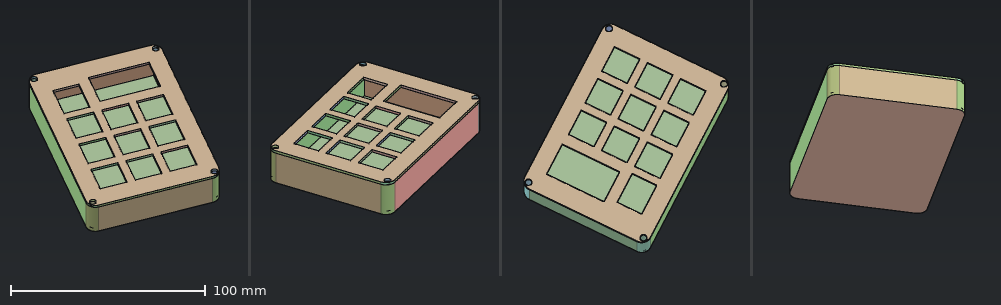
import cadquery as cq

length = 98.3
width = 72.2
height = 19.5
corner_radius = 5.2
lid_thickness = 1.5
housing_height = height - lid_thickness

wall = 5.0
floor_thickness = 2.0

screw_diameter = 3.4
screw_inset = 3.1
screw_points = [
    (side_x * (length / 2 - screw_inset), side_y * (width / 2 - screw_inset))
    for side_x in (-1, 1)
    for side_y in (-1, 1)
]

key_size = 14.5
key_pitch = 19.0
key_count = 3
key_grid_x = 12.3
key_grid_y = -0.1

display_length = 17.9
display_width = 32.9
display_x = -29.0
display_y = 10.2

control_length = 17.2
control_width = 14.1
control_x = -26.5
control_y = -19.5


def rounded_plate(thickness, base_z):
    """Plate with the outer outline, standing on base_z."""
    plate = cq.Workplane("XY").workplane(offset=base_z).rect(length, width).extrude(thickness)
    return plate.edges("|Z").fillet(corner_radius)


def make_housing():
    """Open-topped box with screw holes in its corners."""
    cavity = (
        cq.Workplane("XY")
        .workplane(offset=floor_thickness)
        .rect(length - 2 * wall, width - 2 * wall)
        .extrude(housing_height - floor_thickness)
    )
    screw_holes = (
        cq.Workplane("XY")
        .workplane(offset=floor_thickness)
        .pushPoints(screw_points)
        .circle(screw_diameter / 2)
        .extrude(housing_height - floor_thickness)
    )
    return rounded_plate(housing_height, 0).cut(cavity).cut(screw_holes)


def make_lid():
    """Flat lid with openings for the keys, the display and the control."""
    on_underside = cq.Workplane("XY").workplane(offset=housing_height)
    keys = (
        on_underside.center(key_grid_x, key_grid_y)
        .rarray(key_pitch, key_pitch, key_count, key_count)
        .rect(key_size, key_size)
        .extrude(lid_thickness)
    )
    display = (
        on_underside.center(display_x, display_y)
        .rect(display_length, display_width)
        .extrude(lid_thickness)
    )
    control = (
        on_underside.center(control_x, control_y)
        .rect(control_length, control_width)
        .extrude(lid_thickness)
    )
    screw_holes = on_underside.pushPoints(screw_points).circle(screw_diameter / 2).extrude(lid_thickness)
    return rounded_plate(lid_thickness, housing_height).cut(keys).cut(display).cut(control).cut(screw_holes)


housing = make_housing()
lid = make_lid()

result = cq.Compound.makeCompound([housing.val(), lid.val()])